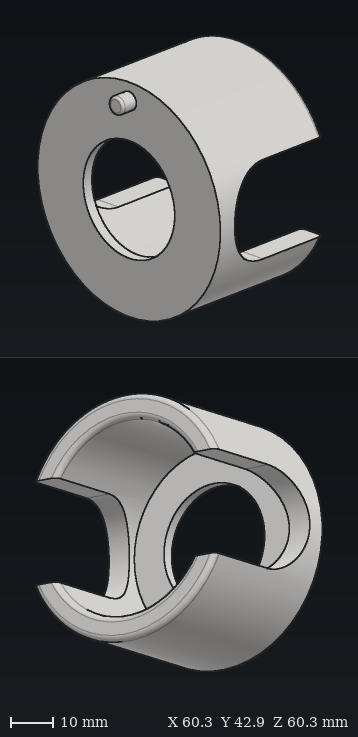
import cadquery as cq

outer_diameter = 60.3
body_length = 38.2
cavity_diameter = 48.0
floor_thickness = 3.0
bore_diameter = outer_diameter / 2
rim_fillet = 1.45

slot_width = 25.45
slot_floor = 4.95

pin_diameter = 4.8
pin_length = 4.65
pin_height = 25.35
pin_fillet = 0.7


def cylinder_along_y(diameter, start, end, height=0):
    """Solid cylinder parallel to Y, centred at X = 0 and Z = height."""
    return (
        cq.Workplane("XZ", origin=(0, start, height))
        .circle(diameter / 2)
        .extrude(start - end)
    )


def make_cup():
    outside = cylinder_along_y(outer_diameter, 0, body_length)
    cavity = cylinder_along_y(cavity_diameter, floor_thickness, body_length)
    bore = cylinder_along_y(bore_diameter, 0, body_length)
    cup = outside.cut(cavity).cut(bore)
    return cup.faces(">Y").edges().fillet(rim_fillet)


def make_slot():
    radius = slot_width / 2
    arc_center = slot_floor + radius
    return (
        cq.Workplane("YZ")
        .moveTo(body_length, radius)
        .lineTo(arc_center, radius)
        .threePointArc((slot_floor, 0), (arc_center, -radius))
        .lineTo(body_length, -radius)
        .close()
        .extrude(outer_diameter, both=True)
    )


def make_pin():
    pin = cylinder_along_y(pin_diameter, -pin_length, floor_thickness, pin_height)
    return pin.faces("<Y").edges().fillet(pin_fillet)


result = make_cup().cut(make_slot()).union(make_pin())